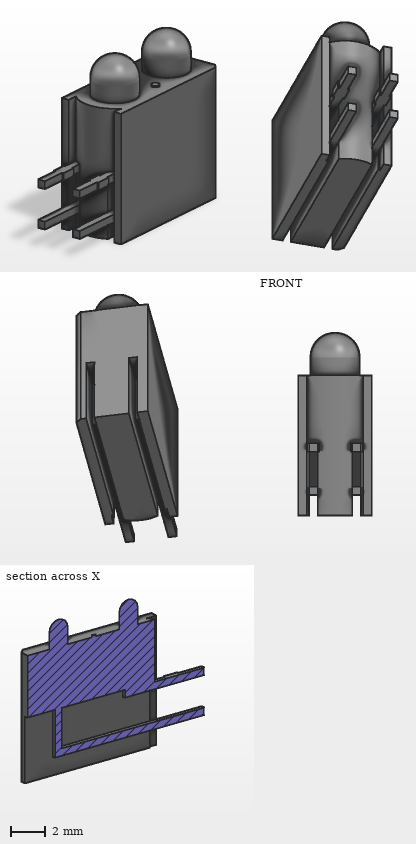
import cadquery as cq
import math

body_width = 4.3
body_length = 9.65
body_height = 8.2
wall_thickness = 0.5
corner_chamfer = 0.3

led_radius = 1.45
led_straight_height = 1.05
led_pitch = 5.08
front_led_y = 2.3
rear_led_y = front_led_y + led_pitch

nose_radius = front_led_y
cavity_half_width = body_width / 2 - wall_thickness
nose_edge_y = front_led_y - math.sqrt(nose_radius**2 - cavity_half_width**2)

lead_size = 0.5
lead_pitch = 2.54
lead_protrusion = 3.2
lower_lead_z = 1.45
upper_lead_z = lower_lead_z + lead_pitch
slot_height = upper_lead_z + lead_size / 2

stop_width = 0.7
stop_length = 1.0
stop_gap = 0.5

marker_radius = 0.25
marker_height = 0.1
marker_x = 1.08
marker_y = body_length / 2


def block(x_size, x_center, y_start, y_end, z_start, z_end):
    """Box centred on x_center and spanning the given Y and Z ranges."""
    return (
        cq.Workplane("XY")
        .box(x_size, y_end - y_start, z_end - z_start, centered=(True, False, False))
        .translate((x_center, y_start, z_start))
    )


def make_housing():
    """Block with a rounded front set between two flat side walls."""
    half_width = body_width / 2
    return (
        cq.Workplane("XY")
        .moveTo(-half_width, 0)
        .lineTo(-cavity_half_width, 0)
        .lineTo(-cavity_half_width, nose_edge_y)
        .threePointArc((0, 0), (cavity_half_width, nose_edge_y))
        .lineTo(cavity_half_width, 0)
        .lineTo(half_width, 0)
        .lineTo(half_width, body_length - corner_chamfer)
        .lineTo(half_width - corner_chamfer, body_length)
        .lineTo(-half_width, body_length)
        .close()
        .extrude(body_height)
    )


def make_led(y_center):
    """Cylinder with a hemispherical dome, standing on the top face."""
    return (
        cq.Workplane("XZ")
        .lineTo(led_radius, 0)
        .lineTo(led_radius, led_straight_height)
        .radiusArc((0, led_straight_height + led_radius), -led_radius)
        .close()
        .revolve(360, (0, 0), (0, 1))
        .translate((0, y_center, body_height))
    )


def make_lead_slot(x_center):
    """Slot open at the underside, the front and the back."""
    return block(lead_size, x_center, 0, body_length, 0, slot_height)


def make_lower_lead(x_center):
    """Lead running back to the rear LED and bent up to the top of the slot."""
    half = lead_size / 2
    z_bottom = lower_lead_z - half
    rear_end = rear_led_y + half
    lead = block(lead_size, x_center, -lead_protrusion, rear_end, z_bottom, lower_lead_z + half)
    leg = block(lead_size, x_center, rear_led_y - half, rear_end, z_bottom, slot_height)
    return lead.union(leg)


def make_upper_lead(x_center):
    """Lead running back to the front LED, with a widened stop outside the housing."""
    half = lead_size / 2
    z_bottom = upper_lead_z - half
    z_top = upper_lead_z + half
    lead = block(lead_size, x_center, -lead_protrusion, front_led_y + half, z_bottom, z_top)
    stop = block(stop_width, x_center, -stop_gap - stop_length, -stop_gap, z_bottom, z_top)
    return lead.union(stop)


def make_marker():
    """Low round pip on the top face between the LEDs."""
    return (
        cq.Workplane("XY", origin=(marker_x, marker_y, body_height))
        .circle(marker_radius)
        .extrude(marker_height)
    )


result = make_housing().union(make_marker())

for led_y in (front_led_y, rear_led_y):
    result = result.union(make_led(led_y))

for lead_x in (-lead_pitch / 2, lead_pitch / 2):
    result = result.cut(make_lead_slot(lead_x))
    result = result.union(make_lower_lead(lead_x))
    result = result.union(make_upper_lead(lead_x))